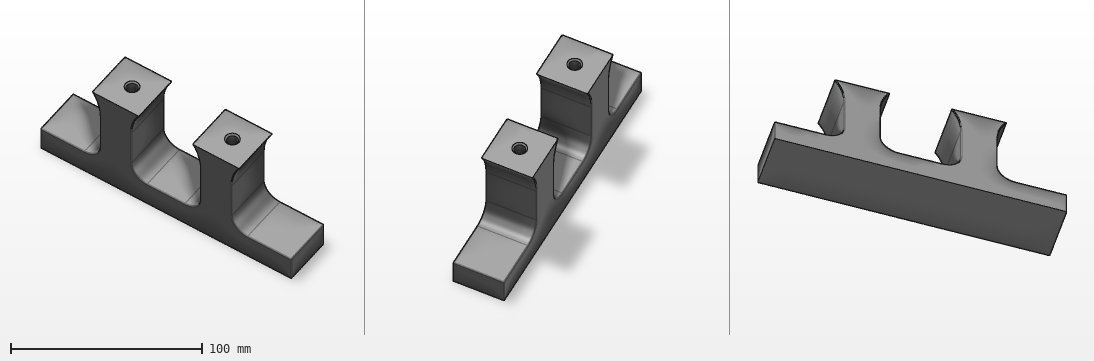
import cadquery as cq
import math

base_length = 160.0
depth = 30.0
base_height = 15.0

total_height = 65.0
post_spacing = 64.0
post_width = 20.0
post_top_width = 30.0
root_radius = 10.0
flare_radius = 30.0

edge_radius = 0.5
hole_diameter = 6.2
hole_mouth_diameter = 8.2
hole_depth = 20.0

post_centers = [-post_spacing / 2, post_spacing / 2]

flare_overhang = (post_top_width - post_width) / 2
flare_height = math.sqrt(flare_radius**2 - (flare_radius - flare_overhang) ** 2)
flare_start = total_height - flare_height


def flare_offset(height_above_start):
    """Outward reach of the flare at a height above its tangent point."""
    return flare_radius - math.sqrt(flare_radius**2 - height_above_start**2)


def add_post_outline(outline, center):
    """Continue the outline from the bar top over one post, from left to right."""
    left = center - post_width / 2
    right = center + post_width / 2
    root_top = base_height + root_radius
    arc_drop = root_radius * (1 - math.sqrt(0.5))
    flare_middle = flare_start + flare_height / 2
    middle_offset = flare_offset(flare_height / 2)
    return (
        outline.lineTo(left - root_radius, base_height)
        .threePointArc((left - arc_drop, base_height + arc_drop), (left, root_top))
        .lineTo(left, flare_start)
        .threePointArc((left - middle_offset, flare_middle), (left - flare_overhang, total_height))
        .lineTo(right + flare_overhang, total_height)
        .threePointArc((right + middle_offset, flare_middle), (right, flare_start))
        .lineTo(right, root_top)
        .threePointArc((right + arc_drop, base_height + arc_drop), (right + root_radius, base_height))
    )


def make_body():
    """Extrude the bar and post outline through the full depth, centered on Y."""
    half_length = base_length / 2
    outline = cq.Workplane("XZ").moveTo(-half_length, 0).lineTo(-half_length, base_height)
    for center in post_centers:
        outline = add_post_outline(outline, center)
    outline = outline.lineTo(half_length, base_height).lineTo(half_length, 0).close()
    return outline.extrude(depth / 2, both=True)


def round_edges(body):
    """Round the upper and end edges, leaving the underside and post tops sharp."""
    bar_end_tops = body.faces("<X or >X").edges(">Z")
    face_edges = body.faces("<Y or >Y").edges("not(<Z or >Z)")
    return face_edges.add(bar_end_tops).fillet(edge_radius)


def cut_holes(body):
    """Cut a blind hole with a countersunk mouth into the top of each post."""
    hole_radius = hole_diameter / 2
    mouth_radius = hole_mouth_diameter / 2
    mouth_depth = mouth_radius - hole_radius
    for center in post_centers:
        hole = cq.Workplane("XY", origin=(center, 0, total_height)).circle(hole_radius).extrude(-hole_depth)
        mouth_bottom = cq.Vector(center, 0, total_height - mouth_depth)
        mouth = cq.Solid.makeCone(hole_radius, mouth_radius, mouth_depth, pnt=mouth_bottom)
        body = body.cut(hole).cut(cq.Workplane(mouth))
    return body


result = cut_holes(round_edges(make_body()))